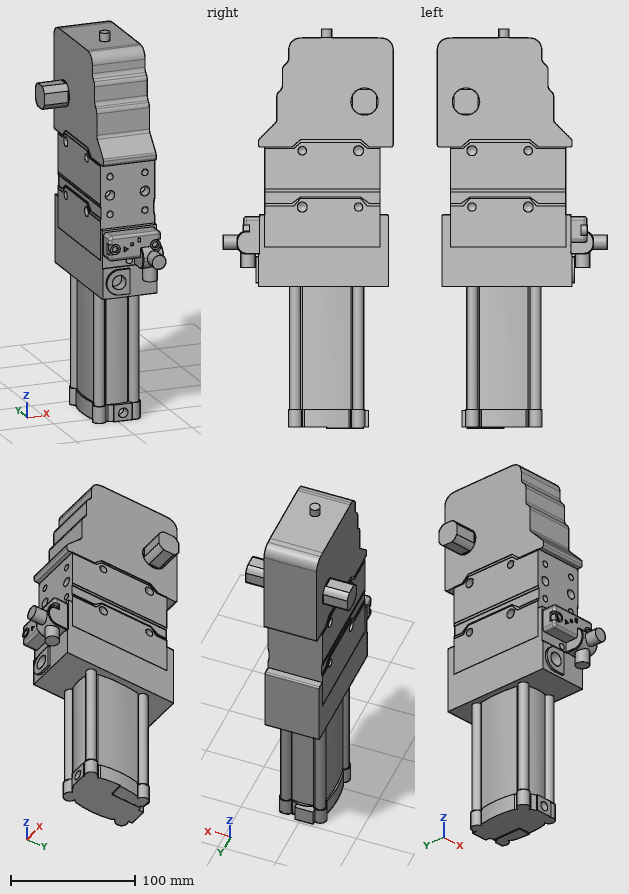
import cadquery as cq
import math


total_height = 321.5
head_back = 53.7
switch_front = -83.3

head_width = 45.5
head_top = 314.5
head_bottom = 226.3
wall_y = [-30.5, -35.7, -40.2, -55.0]
step_top = [295.8, 273.5, 247.0]
top_corner_radius = 9.3
top_slope_drop = 1.0
top_flat_back = 40.5
top_flat_front = -19.3
step_radius = 5.5
foot_slope_radius = 4.2
foot_edge_radius = 2.5
foot_corner_radius = 2.0
indicator_diameter = 8.5

neck_back = 43.0
neck_front = -49.8
pad_width = 47.3
ledge_width = 46.5
upper_pad = {"bottom": 192.5, "shoulder": 225.5, "crown": 230.0, "crown_run": 5.5}
upper_ledge = {"bottom": 190.3, "shoulder": head_bottom, "crown": 232.5, "crown_run": 7.0}
lower_pad = {"bottom": 146.0, "shoulder": 178.8, "crown": 185.2, "crown_run": 5.5}
lower_ledge = {"bottom": 146.0, "shoulder": 181.0, "crown": 186.0, "crown_run": 7.0}
crown_back = 27.3
crown_front = -21.0

block_width = 47.0
block_back = 49.8
block_top = 172.0
block_bottom = 114.0
block_edge_radius = 1.3
switch_seat = -54.0
seat_bottom = 140.2
block_front = wall_y[-1]

drill_depth = 9.5
drill_point_angle = 118.0
small_drill = 5.5
medium_drill = 6.8
large_drill = 8.0
front_hole_x = 15.0
front_holes = [(215.7, small_drill), (200.0, large_drill), (184.0, small_drill)]
side_holes = [
    (25.7, 223.5, large_drill),
    (-19.5, 223.5, medium_drill),
    (25.7, 178.0, medium_drill),
    (-19.5, 178.0, large_drill),
]
vent_height = 144.5

port_x = -10.0
port_height = 127.5
port_radius = 10.5
port_side = -0.5
port_boss_front = -57.0
port_diameter = 12.0
port_depth = 9.5

rod_x = 14.8
rod_y = 25.5
tube_rod_radius = 4.5
tube_end_half, tube_end_edge, tube_end_bulge = 9.3, 26.7, 28.0
tube_side_half, tube_side_edge, tube_side_bulge = 19.5, 16.5, 18.0
cap_top = 15.0
cap_bottom = 1.0
cap_rod_radius = 5.5
cap_end_half, cap_end_edge, cap_end_bulge = 8.5, 28.0, 30.0
cap_side_half, cap_side_edge, cap_side_bulge = 18.0, 17.7, 19.5
cap_boss_x = 4.0
cap_boss_width = 15.8
cap_front_boss = 31.0
cap_back_boss = 33.8
cap_back_boss_top = 14.5
cap_port_height = 7.7
foot_pad_x = 7.7
foot_pad_length = 29.5

shaft_y = 30.5
shaft_height = 263.0
shaft_length = 88.0
shaft_diameter = 22.0
shaft_square = 19.5
journal_length = pad_width

switch_width = 45.0
switch_face = -67.0
switch_top = 170.5
switch_bottom = 149.5
switch_corner_radius = 3.0
switch_face_radius = 2.3
screw_x = 17.5
screw_height = 159.5
screw_diameter = 8.5
screw_face = -67.2
screw_seat = -62.0
screw_socket_diameter = 5.0
screw_socket_depth = 2.5
mark_depth = 1.0
mark_size = 2.3
bar_mark_height = 3.2
triangle_mark = (-8.5, 158.5)
square_mark = (-2.5, 162.0)
bar_mark = (3.5, 165.0)
plug_right = 22.5
cable_x = 14.0
plug_width = 18.0
plug_top = 158.8
plug_bottom = 140.2
plug_front = -72.3
plug_radius = 8.0
plug_chamfer = 0.5
cable_diameter = 12.0
cable_height = 149.8
drop_cable_y = -63.3
drop_cable_bottom = 129.2


def box(x_range, y_range, z_range):
    """Box between two limits along each axis."""
    sizes = [max(r) - min(r) for r in (x_range, y_range, z_range)]
    return cq.Workplane("XY").box(*sizes, centered=False).translate(
        (min(x_range), min(y_range), min(z_range))
    )


def centred(width):
    return (-width / 2, width / 2)


def rod(start, direction, diameter, length):
    """Round bar from a start point along a direction."""
    solid = cq.Solid.makeCylinder(diameter / 2, length, cq.Vector(*start), cq.Vector(*direction))
    return cq.Workplane(obj=solid)


def drill(start, direction, diameter):
    """Tool for a blind drilled hole with a conical point."""
    tip = cq.Vector(*start) + cq.Vector(*direction) * drill_depth
    tip_length = diameter / 2 / math.tan(math.radians(drill_point_angle / 2))
    cone = cq.Solid.makeCone(diameter / 2, 0, tip_length, tip, cq.Vector(*direction))
    return rod(start, direction, diameter, drill_depth).union(cq.Workplane(obj=cone))


def make_head():
    """Head with a stepped front, each step a 45 degree slope with rounded ends."""
    corner_height = head_top - top_slope_drop
    points = [
        (head_back, head_bottom),
        (head_back, corner_height),
        (top_flat_back, head_top),
        (top_flat_front, head_top),
        (wall_y[0], corner_height),
    ]
    radii = [foot_corner_radius, top_corner_radius, 0, 0, top_corner_radius]
    slope_radii = [(step_radius, step_radius), (step_radius, step_radius), (foot_slope_radius, foot_edge_radius)]
    for inner, outer, top, (top_radius, low_radius) in zip(wall_y, wall_y[1:], step_top, slope_radii):
        points += [(inner, top), (outer, top - (inner - outer))]
        radii += [top_radius, low_radius]
    points.append((wall_y[-1], head_bottom))
    radii.append(foot_corner_radius)

    head = cq.Workplane("YZ").polyline(points).close().extrude(head_width / 2, both=True)
    for (y, z), radius in zip(points, radii):
        if radius == 0:
            continue
        head = head.edges(cq.selectors.NearestToPointSelector((0, y, z))).fillet(radius)
    indicator = rod((0, 0, head_top), (0, 0, 1), indicator_diameter, total_height - head_top)
    return head.union(indicator)


def make_pad(width, bottom, shoulder, crown, crown_run):
    """Plate across the neck whose top edge rises to a raised crown."""
    points = [
        (neck_back, bottom),
        (neck_back, shoulder),
        (crown_back + crown_run, shoulder),
        (crown_back, crown),
        (crown_front, crown),
        (crown_front - crown_run, shoulder),
        (neck_front, shoulder),
        (neck_front, bottom),
    ]
    return cq.Workplane("YZ").polyline(points).close().extrude(width / 2, both=True)


def make_neck():
    neck = box(centred(head_width), (neck_front, neck_back), (block_bottom, head_bottom))
    neck = neck.union(make_pad(ledge_width, **upper_ledge)).union(make_pad(pad_width, **upper_pad))
    return neck.union(make_pad(ledge_width, **lower_ledge)).union(make_pad(pad_width, **lower_pad))


def make_block():
    """Block under the neck with the switch seat and the air port boss on its front."""
    block = box(centred(block_width), (switch_seat, block_back), (block_bottom, block_top))
    block = block.edges(">Y and >Z").fillet(block_edge_radius)
    block = block.union(box(centred(block_width), (block_front, 0), (block_bottom, seat_bottom)))
    boss = (
        cq.Workplane("XZ", origin=(0, port_boss_front, 0))
        .moveTo(port_side, port_height + port_radius)
        .lineTo(port_x, port_height + port_radius)
        .threePointArc((port_x - port_radius, port_height), (port_x, port_height - port_radius))
        .lineTo(port_side, port_height - port_radius)
        .close().extrude(port_boss_front - block_front)
    )
    return block.union(boss)


def make_barrel(z_range, end, side, rod_radius):
    """Bar with bulged ends and sides and a round rib at each corner.

    `end` and `side` hold the half length of the bulge, its distance at the edge and at the middle.
    """
    end_half, end_edge, end_bulge = end
    side_half, side_edge, side_bulge = side
    height = z_range[1] - z_range[0]
    barrel = (
        cq.Workplane("XY").workplane(offset=z_range[0])
        .moveTo(-end_half, end_edge)
        .threePointArc((0, end_bulge), (end_half, end_edge))
        .lineTo(side_edge, side_half)
        .threePointArc((side_bulge, 0), (side_edge, -side_half))
        .lineTo(end_half, -end_edge)
        .threePointArc((0, -end_bulge), (-end_half, -end_edge))
        .lineTo(-side_edge, -side_half)
        .threePointArc((-side_bulge, 0), (-side_edge, side_half))
        .close().extrude(height)
    )
    for x in (-rod_x, rod_x):
        for y in (-rod_y, rod_y):
            barrel = barrel.union(rod((x, y, z_range[0]), (0, 0, 1), 2 * rod_radius, height))
    return barrel


def make_cylinder():
    tube_end = (tube_end_half, tube_end_edge, tube_end_bulge)
    tube_side = (tube_side_half, tube_side_edge, tube_side_bulge)
    cap_end = (cap_end_half, cap_end_edge, cap_end_bulge)
    cap_side = (cap_side_half, cap_side_edge, cap_side_bulge)
    tube = make_barrel((cap_bottom, block_bottom), tube_end, tube_side, tube_rod_radius)
    cap = make_barrel((cap_bottom, cap_top), cap_end, cap_side, cap_rod_radius)

    boss_x = (cap_boss_x - cap_boss_width / 2, cap_boss_x + cap_boss_width / 2)
    front_boss = box(boss_x, (-cap_front_boss, 0), (cap_bottom, cap_top))
    back_boss = box([-x for x in boss_x], (0, cap_back_boss), (cap_bottom, cap_back_boss_top))
    foot_pad = make_barrel((0, cap_bottom), cap_end, cap_side, cap_rod_radius).intersect(
        box((foot_pad_x, rod_x + cap_rod_radius), (0, foot_pad_length), (0, cap_bottom))
    )
    port = drill((cap_boss_x, -cap_front_boss, cap_port_height), (0, 1, 0), large_drill)
    return tube.union(cap).union(front_boss).union(back_boss).union(foot_pad).cut(port)


def make_housing():
    """Head, neck, block and cylinder in one piece, with all holes and the shaft bore."""
    housing = make_head().union(make_neck()).union(make_block()).union(make_cylinder())
    for side in (-1, 1):
        for height, diameter in front_holes:
            housing = housing.cut(drill((side * front_hole_x, neck_front, height), (0, 1, 0), diameter))
        for y, height, diameter in side_holes:
            housing = housing.cut(drill((side * pad_width / 2, y, height), (-side, 0, 0), diameter))
    housing = housing.cut(rod((port_x, port_boss_front, port_height), (0, 1, 0), port_diameter, port_depth))
    housing = housing.cut(rod((0, switch_seat, vent_height), (0, 1, 0), small_drill, drill_depth))
    bore_start = (-head_width / 2, shaft_y, shaft_height)
    return housing.cut(rod(bore_start, (1, 0, 0), shaft_diameter, head_width))


def make_shaft():
    """Round shaft with four flats on each end outside the journal."""
    shaft = rod((-shaft_length / 2, shaft_y, shaft_height), (1, 0, 0), shaft_diameter, shaft_length)
    journal = box(centred(journal_length), centred(shaft_diameter), centred(shaft_diameter))
    square = box(centred(shaft_length), centred(shaft_square), centred(shaft_square))
    envelope = journal.union(square).translate((0, shaft_y, shaft_height))
    return shaft.intersect(envelope)


def make_switch_case():
    """Switch case with two side-open screw seats and small marks on its face."""
    case = box(centred(switch_width), (switch_face, switch_seat), (switch_bottom, switch_top))
    case = case.edges("|Y").fillet(switch_corner_radius)
    case = case.faces("<Y").edges().fillet(switch_face_radius)

    screw_z = (screw_height - screw_diameter / 2, screw_height + screw_diameter / 2)
    for side in (-1, 1):
        x = side * screw_x
        case = case.cut(box((x, side * switch_width / 2), (switch_face, screw_seat), screw_z))
        case = case.union(rod((x, screw_face, screw_height), (0, 1, 0), screw_diameter, switch_seat - screw_face))
        case = case.cut(rod((x, screw_face, screw_height), (0, 1, 0), screw_socket_diameter, screw_socket_depth))

    face = cq.Workplane("XZ", origin=(0, switch_face, 0))
    triangle = face.center(*triangle_mark).polygon(3, 2 * mark_size).extrude(-mark_depth)
    square = face.center(*square_mark).rect(mark_size, mark_size).extrude(-mark_depth)
    bar = face.center(*bar_mark).rect(mark_size, bar_mark_height).extrude(-mark_depth)
    return case.cut(triangle).cut(square).cut(bar)


def make_plug():
    """Rounded angle plug, hollowed beside the screw, with one cable leaving forwards and one downwards."""
    plug = box((plug_right - plug_width, plug_right), (plug_front, switch_seat), (plug_bottom, plug_top))
    plug = plug.edges("<Y and |X").fillet(plug_radius)
    plug = plug.faces("<X or >X").edges("not >Y").chamfer(plug_chamfer)
    screw_access = rod((screw_x, plug_front, screw_height), (0, 1, 0), screw_diameter, switch_seat - plug_front)
    plug = plug.cut(screw_access)
    front_cable = rod((cable_x, switch_front, cable_height), (0, 1, 0), cable_diameter, switch_seat - switch_front)
    drop_cable = rod(
        (cable_x, drop_cable_y, drop_cable_bottom), (0, 0, 1), cable_diameter, cable_height - drop_cable_bottom
    )
    return plug.union(front_cable).union(drop_cable)


housing = make_housing()
shaft = make_shaft()
switch = make_switch_case().union(make_plug())

result = cq.Compound.makeCompound([body.solids().val() for body in (housing, shaft, switch)])